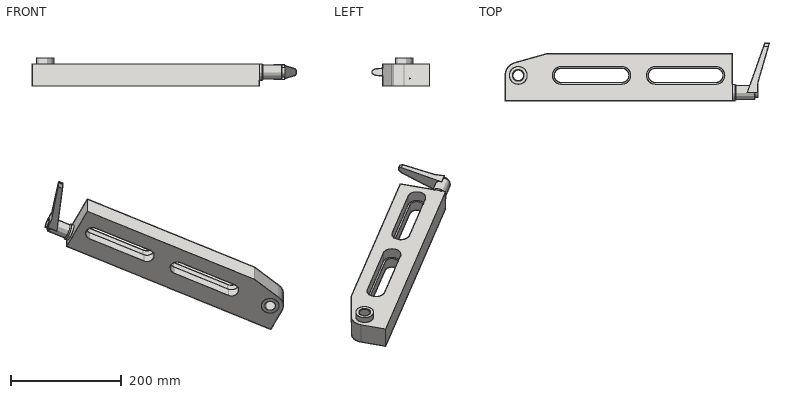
import cadquery as cq
import math

arm_length = 411.0
arm_width = 85.0
arm_height = 40.0
nose_radius = 24.0
nose_y = 46.0
taper_start_x = 74.5
taper_angle = math.radians(15)

slot_centers_x = (156.0, 326.5)
slot_length = 141.5
slot_width = 32.0
slot_ledge = 3.5
slot_ledge_depth = 20.0

bushing_radius = 16.0
bushing_projection = 11.0
bore_radius = 9.5
bore_chamfer = 1.0
bushing_height = arm_height + bushing_projection

lever_y = 15.0
lever_z = 25.5
collar_radius = 15.0
collar_length = 4.5
barrel_radius = 13.0
barrel_start = 6.5
barrel_length = 40.5
cap_radius = 8.5
barrel_chamfer = 1.0
cap_length = 46.5

grip_root_near = 26.8
grip_root_far = 45.5
grip_bend_y = 33.5
grip_tip_near = 58.5
grip_tip_y = 104.0
overall_length = 477.5
grip_root_half_height = 13.5
grip_tip_half_height = 5.95
tip_bevel_length = 5.5
tip_bevel_half_height = 2.5


def make_arm():
    """Bar with the nose arc tangent to its end face and its tapered side."""
    def nose_point(angle):
        return (nose_radius * (1 - math.cos(angle)), nose_y + nose_radius * math.sin(angle))

    arc_sweep = math.pi / 2 - taper_angle
    arm = (
        cq.Workplane("XY")
        .lineTo(arm_length, 0)
        .lineTo(arm_length, arm_width)
        .lineTo(taper_start_x, arm_width)
        .lineTo(*nose_point(arc_sweep))
        .threePointArc(nose_point(arc_sweep / 2), nose_point(0))
        .close()
        .extrude(arm_height)
    )
    slot_places = [(x, nose_y) for x in slot_centers_x]
    upper_slots = (
        cq.Workplane("XY", origin=(0, 0, arm_height))
        .pushPoints(slot_places)
        .slot2D(slot_length, slot_width)
        .extrude(-slot_ledge_depth)
    )
    through_slots = (
        cq.Workplane("XY")
        .pushPoints(slot_places)
        .slot2D(slot_length - 2 * slot_ledge, slot_width - 2 * slot_ledge)
        .extrude(arm_height)
    )
    bushing_hole = (
        cq.Workplane("XY")
        .center(nose_radius, nose_y)
        .circle(bushing_radius)
        .extrude(arm_height)
    )
    return arm.cut(upper_slots).cut(through_slots).cut(bushing_hole)


def make_bushing():
    """Plain tube with a chamfered bore mouth, flush with the arm's underside."""
    bushing = (
        cq.Workplane("XY")
        .center(nose_radius, nose_y)
        .circle(bushing_radius)
        .circle(bore_radius)
        .extrude(bushing_height)
    )
    return bushing.faces(">Z").edges(cq.selectors.RadiusNthSelector(0)).chamfer(bore_chamfer)


def make_barrel():
    """Turned hub of the lever: collar, cone, barrel and end cap."""
    return (
        cq.Workplane("XY", origin=(arm_length, lever_y, lever_z))
        .lineTo(0, collar_radius)
        .lineTo(collar_length, collar_radius)
        .lineTo(barrel_start, barrel_radius)
        .lineTo(barrel_length - barrel_chamfer, barrel_radius)
        .lineTo(barrel_length, barrel_radius - barrel_chamfer)
        .lineTo(barrel_length, cap_radius)
        .lineTo(cap_length, cap_radius)
        .lineTo(cap_length, 0)
        .close()
        .revolve(360, (0, 0, 0), (1, 0, 0))
    )


def make_grip():
    """Leaning grip: its plan outline crossed with its tapered, beveled side outline."""
    plan = (
        cq.Workplane("XY")
        .moveTo(arm_length + grip_root_near, lever_y)
        .lineTo(arm_length + grip_root_far, lever_y)
        .lineTo(arm_length + cap_length, grip_bend_y)
        .lineTo(overall_length, grip_tip_y)
        .lineTo(arm_length + grip_tip_near, grip_tip_y)
        .close()
        .extrude(2 * lever_z)
    )
    bevel_y = grip_tip_y - tip_bevel_length
    side = (
        cq.Workplane("YZ", origin=(arm_length, 0, lever_z))
        .moveTo(lever_y, -grip_root_half_height)
        .lineTo(bevel_y, -grip_tip_half_height)
        .lineTo(grip_tip_y, -tip_bevel_half_height)
        .lineTo(grip_tip_y, tip_bevel_half_height)
        .lineTo(bevel_y, grip_tip_half_height)
        .lineTo(lever_y, grip_root_half_height)
        .close()
        .extrude(overall_length - arm_length)
    )
    return plan.intersect(side)


def make_clamping_lever():
    return make_barrel().union(make_grip())


arm = make_arm()
bushing = make_bushing()
clamping_lever = make_clamping_lever()

result = cq.Compound.makeCompound([arm.val(), bushing.val(), clamping_lever.val()])